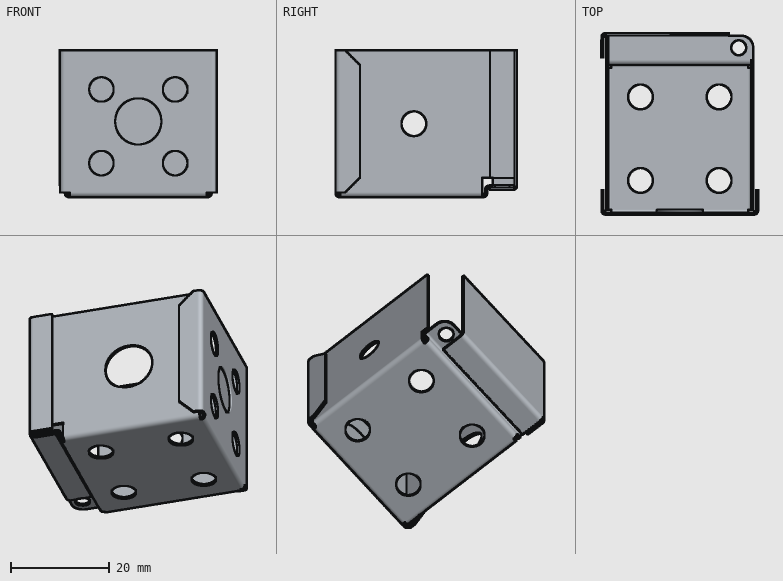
import cadquery as cq
import math

width = 32.0
depth = 37.05
height = 30.0

bend_radius = 1.0
sheet = bend_radius / 2
inner_radius = bend_radius - sheet

wall_outer = width / 2 - bend_radius
floor_edge = wall_outer - bend_radius
floor_rear = 30.0
tab_top = 2.5
tab_rear = 36.5
tab_front = floor_rear + inner_radius + bend_radius
tab_corner_radius = 2.5
notch_top = 4.0

flange_length = 5.0
flange_chamfer = 3.0

hole_dia = 5.0
floor_hole_x = 8.0
floor_hole_ys = (7.0, 24.0)
panel_hole_spacing = 15.0
panel_hole_center_z = 14.5
side_hole_y = 16.0
side_hole_z = 15.0
left_hole_dia = 10.0
tab_hole_dia = 3.0
tab_hole_x = 12.0
tab_hole_y = 34.02

knockout_center_z = (bend_radius + height) / 2
knockout_dia = 9.4
knockout_rim_radius = 0.2
knockout_corner_radius = sheet - knockout_rim_radius
knockout_back = 1.05
knockout_back_radius = 0.15

plate_right = 10.0
plate_outer = tab_rear + sheet
plate_tilt = math.degrees(math.asin((depth - plate_outer) / (plate_right + wall_outer)))


def angle_section(origin, leg_a_dir, normal, leg_a, leg_b, length):
    """L-shaped bent sheet; origin is the sharp outer corner, extruded along the normal."""
    plane = cq.Plane(origin=origin, xDir=leg_a_dir, normal=normal)
    return (
        cq.Workplane(plane)
        .moveTo(leg_a, 0)
        .lineTo(bend_radius, 0)
        .tangentArcPoint((0, bend_radius), relative=False)
        .lineTo(0, leg_b)
        .lineTo(sheet, leg_b)
        .lineTo(sheet, bend_radius)
        .tangentArcPoint((bend_radius, sheet), relative=False)
        .lineTo(leg_a, sheet)
        .close()
        .extrude(length)
    )


def block(x_range, y_range, z_range):
    """Box between two limits along each axis."""
    lows, highs = zip(x_range, y_range, z_range)
    sizes = [high - low for low, high in zip(lows, highs)]
    return cq.Workplane().box(*sizes, centered=False).translate(lows)


def both_sides(left):
    """A left-hand piece joined with its mirror image across X = 0."""
    return left.union(left.mirror("YZ"))


def make_floor_and_front():
    return angle_section(
        (-floor_edge, 0, 0), (0, 1, 0), (1, 0, 0), floor_rear, height, 2 * floor_edge
    )


def make_front_flanges():
    """Upper front panel with a flange on each side, the flange ends chamfered."""
    bottom = bend_radius
    flange = angle_section(
        (-width / 2, 0, bottom), (1, 0, 0), (0, 0, 1), width / 2, flange_length, height - bottom
    )
    flange = flange.faces(">Y").edges("|X").chamfer(flange_chamfer)
    return both_sides(flange)


def make_side_walls():
    """Side walls bent up from the floor; the left one runs on to the back plate."""
    wall = angle_section(
        (-wall_outer, floor_rear, 0), (1, 0, 0), (0, -1, 0), wall_outer, height, floor_rear - bend_radius
    )
    wall_inner = wall_outer - sheet
    heights = (notch_top, height)
    left_rear = block((-wall_outer, -wall_inner), (floor_rear, tab_rear), heights)
    right_rear = block((wall_inner, wall_outer), (floor_rear, tab_front), heights)
    return both_sides(wall).union(left_rear).union(right_rear)


def make_tab():
    """Raised rear tab joined to the floor by an S-shaped step."""
    web_front = floor_rear + inner_radius
    web_rear = web_front + sheet
    upper_bend_z = tab_top - bend_radius
    tab = (
        cq.Workplane("YZ", origin=(-wall_outer, 0, 0))
        .moveTo(floor_edge, 0)
        .lineTo(floor_rear, 0)
        .tangentArcPoint((web_rear, bend_radius), relative=False)
        .lineTo(web_rear, upper_bend_z)
        .tangentArcPoint((tab_front, tab_top - sheet), relative=False)
        .lineTo(tab_rear, tab_top - sheet)
        .lineTo(tab_rear, tab_top)
        .lineTo(tab_front, tab_top)
        .tangentArcPoint((web_front, upper_bend_z), relative=False)
        .lineTo(web_front, bend_radius)
        .tangentArcPoint((floor_rear, sheet), relative=False)
        .lineTo(floor_edge, sheet)
        .close()
        .extrude(2 * wall_outer)
    )
    relief = block((-wall_outer, -floor_edge), (0, tab_rear), (0, bend_radius))
    tab = tab.cut(both_sides(relief))
    tab = tab.edges("|Z and >X and >Y").fillet(tab_corner_radius)
    hole = cq.Workplane().center(tab_hole_x, tab_hole_y).circle(tab_hole_dia / 2).extrude(height)
    return tab.cut(hole)


def make_floor_holes():
    points = [(x, y) for x in (-floor_hole_x, floor_hole_x) for y in floor_hole_ys]
    return cq.Workplane().pushPoints(points).circle(hole_dia / 2).extrude(bend_radius)


def make_panel_holes():
    return (
        cq.Workplane("XZ", origin=(0, 0, panel_hole_center_z))
        .rect(panel_hole_spacing, panel_hole_spacing, forConstruction=True)
        .vertices()
        .circle(hole_dia / 2)
        .extrude(-bend_radius)
    )


def make_side_holes():
    """Large hole through the left wall in line with a small one through the right wall."""
    middle = cq.Workplane("YZ").center(side_hole_y, side_hole_z)
    large = middle.circle(left_hole_dia / 2).extrude(-wall_outer)
    small = middle.circle(hole_dia / 2).extrude(wall_outer)
    return large.union(small)


def make_knockout_boss():
    boss = (
        cq.Workplane("XZ", origin=(0, 0, knockout_center_z))
        .circle(knockout_dia / 2)
        .extrude(-knockout_back)
    )
    return boss.faces(">Y").edges().fillet(knockout_back_radius)


def make_knockout_recess():
    """Recess one sheet deep, with a rounded rim that flows into a rounded bottom corner."""
    wall_radius = knockout_dia / 2
    return (
        cq.Workplane("XY", origin=(0, 0, knockout_center_z))
        .moveTo(0, sheet)
        .lineTo(wall_radius - knockout_corner_radius, sheet)
        .tangentArcPoint((wall_radius, knockout_rim_radius), relative=False)
        .tangentArcPoint((wall_radius + knockout_rim_radius, 0), relative=False)
        .lineTo(0, 0)
        .close()
        .revolve(360, (0, 0), (0, 1))
    )


def make_box():
    box = make_floor_and_front()
    for piece in (make_front_flanges(), make_side_walls(), make_tab(), make_knockout_boss()):
        box = box.union(piece)
    for opening in (make_floor_holes(), make_panel_holes(), make_side_holes(), make_knockout_recess()):
        box = box.cut(opening)
    return box


def make_back_plate():
    """Plate behind the box with a left flange and a bottom flap under the tab, slightly tilted."""
    outer_y = plate_outer
    flap_bottom = tab_top - 2 * sheet
    flange = angle_section(
        (-width / 2, outer_y, height), (1, 0, 0), (0, 0, -1),
        plate_right + width / 2, flange_length, height - tab_top,
    )
    flap = angle_section(
        (plate_right, outer_y, flap_bottom), (0, -1, 0), (-1, 0, 0),
        outer_y - tab_front, height - flap_bottom, plate_right + wall_outer,
    )
    pivot = (plate_right, tab_rear)
    return flange.union(flap).rotate((*pivot, 0), (*pivot, 1), -plate_tilt)


back_plate = make_back_plate()
box = make_box().cut(back_plate)
result = cq.Compound.makeCompound([box.solids().val(), back_plate.solids().val()])